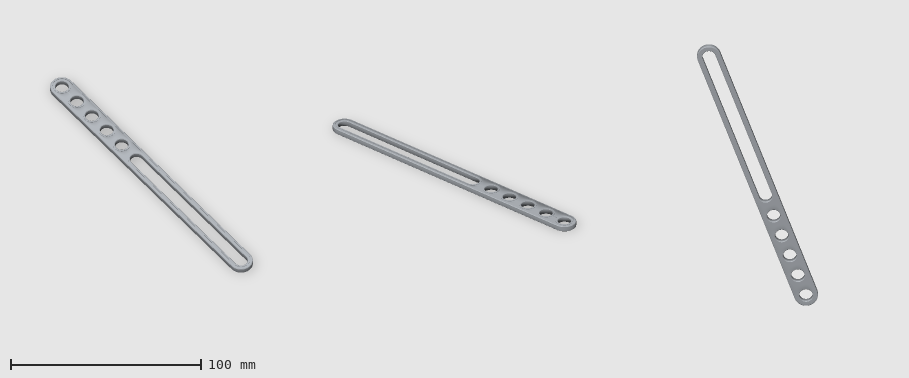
import cadquery as cq

PITCH = 12.5
LENGTH_UNITS = 13
HOLE_COUNT = 5
HOLE_DIAMETER = 7.0
RIM_DIAMETER = 9.2
BORDER_WIDTH = 1.1
RECESS_DEPTH = 0.2
EDGE_CHAMFER = 0.3
BAR_LENGTH = 2.2
BAR_WIDTH = 0.5

THICKNESS = PITCH / 4
LENGTH = LENGTH_UNITS * PITCH
FIRST_CENTER_X = (PITCH - LENGTH) / 2
LAST_CENTER_X = -FIRST_CENTER_X
SLOT_START_X = FIRST_CENTER_X + HOLE_COUNT * PITCH
HOLE_CENTERS = [(FIRST_CENTER_X + index * PITCH, 0) for index in range(HOLE_COUNT)]
TOP_Z = THICKNESS / 2
FLOOR_Z = TOP_Z - RECESS_DEPTH


def level(z):
    """Horizontal workplane at height z."""
    return cq.Workplane("XY", origin=(0, 0, z))


def hole_cylinders(z, diameter, height):
    """Cylinders on the hole centres."""
    return level(z).pushPoints(HOLE_CENTERS).circle(diameter / 2).extrude(height)


def slot_body(z, width, height):
    """Round-ended body along the slot."""
    middle_x = (SLOT_START_X + LAST_CENTER_X) / 2
    span = LAST_CENTER_X - SLOT_START_X
    return level(z).center(middle_x, 0).slot2D(span + width, width).extrude(height)


def make_perforated_strap():
    """Round-ended strap with its holes and slot, every edge bevelled."""
    strap = level(-TOP_Z).slot2D(LENGTH, PITCH).extrude(THICKNESS)
    strap = strap.cut(hole_cylinders(-TOP_Z, HOLE_DIAMETER, THICKNESS))
    strap = strap.cut(slot_body(-TOP_Z, HOLE_DIAMETER, THICKNESS))
    return strap.faces("<Z or >Z").chamfer(EDGE_CHAMFER)


def make_bar():
    """Short bar midway between the first two holes, level with the top face."""
    middle_x = FIRST_CENTER_X + PITCH / 2
    return level(FLOOR_Z).center(middle_x, 0).rect(BAR_LENGTH, BAR_WIDTH).extrude(RECESS_DEPTH)


def make_recess():
    """Volume removed from the top face, leaving the border, the rims and the bar."""
    inset = 2 * BORDER_WIDTH
    recess = level(FLOOR_Z).slot2D(LENGTH - inset, PITCH - inset).extrude(RECESS_DEPTH)
    recess = recess.cut(hole_cylinders(FLOOR_Z, RIM_DIAMETER, RECESS_DEPTH))
    recess = recess.cut(slot_body(FLOOR_Z, RIM_DIAMETER, RECESS_DEPTH))
    return recess.cut(make_bar())


result = make_perforated_strap().cut(make_recess())